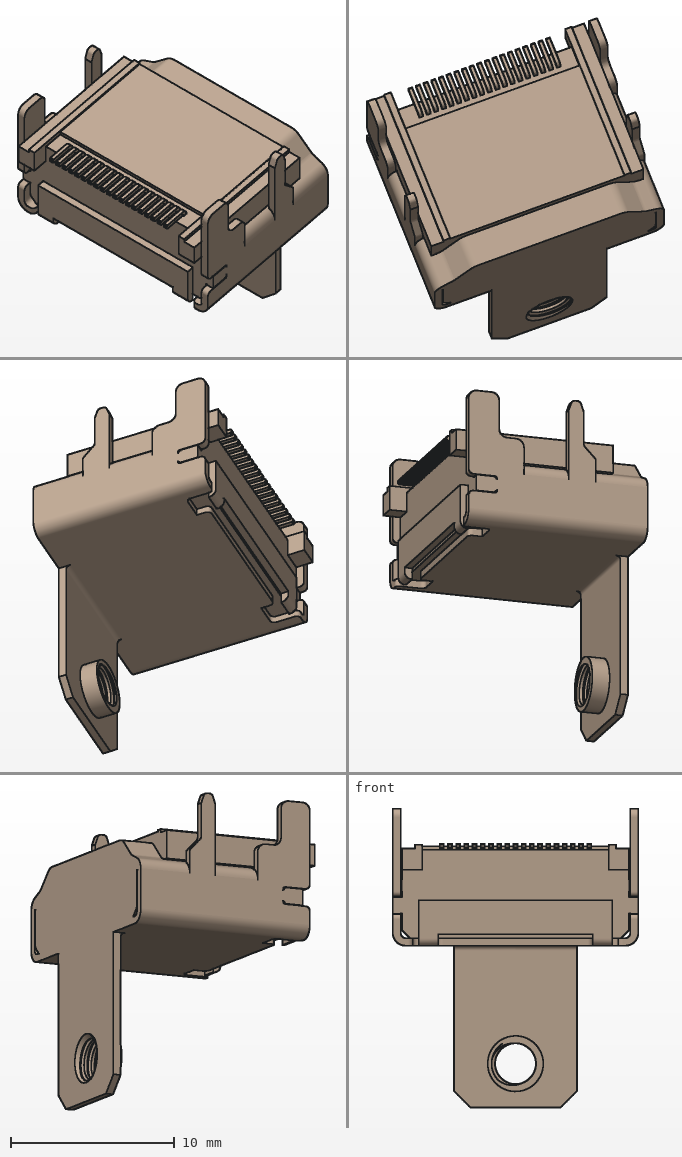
import cadquery as cq
import math


shell_half_width = 7.5
shell_length = 11.53
side_thickness = 0.51
floor_thickness = 0.47
bottom_radius = 0.8
shoulder_z = 3.3
hood_length = 7.98
hood_top_z = 5.55

edge_radius = 0.3
slot_bottom_z = 1.93
slot_top_z = 3.01
slot_front_y = -9.7
slot_corner_radius = 0.16
lug_clearance = 0.04
notch_half_width = 6.26
tab_half_width = 4.7
tab_end_y = -10.58

tail_top_z = 8.38

body_gap = 0.05
body_half_width = shell_half_width - side_thickness - body_gap
body_back_y = -11.05
body_chamfer = 0.47
body_front_y = -2.05
deck_half_width = 5.7
deck_end_y = -9.67
deck_z = 6.08
ledge_z = 5.85
rail_end_y = -12.15
rail_step_x = 6.13
rail_top_z = 6.17
rail_outer_z = 5.95
rail_bottom_z = 4.2
rail_tip_bottom_z = 4.64

plate_half_width = 5.91
plate_top_z = 2.77
plate_relief_z = 0.7
foot_radius = 0.44

contact_count = 19
contact_row_length = 9.0
contact_pitch = contact_row_length / (contact_count - 1)
contact_width = 0.25
contact_top_z = 6.25
contact_start_y = -10.1
contact_bend = 0.36
contact_thickness = 0.3
contact_end_y = -11.99
contact_tip_chamfer = 0.07

flange_half_width = 3.76
flange_thickness = 0.5
flange_bottom_z = -9.87
flange_chamfer = 1.02
flange_bend_radius = 0.27
boss_z = -7.19
boss_radius = 1.7
boss_end_y = -1.6
hole_radius = 1.25
thread_pitch = 0.5
thread_depth = 0.22
thread_root_flat = 0.07
thread_base = 0.44
thread_overlap = 0.18
thread_start = -100
countersink = 0.27


def block(x0, x1, y0, y1, z0, z1):
    """Axis-aligned box between two opposite corners."""
    return cq.Workplane("XY").box(x1 - x0, y1 - y0, z1 - z0, centered=False).translate((x0, y0, z0))


def both_sides(shape):
    """The shape together with its mirror image across the X = 0 plane."""
    return shape.union(shape.mirror("YZ"))


def make_trough():
    """Floor and side walls of the shell, bent from one sheet."""
    outer = block(-shell_half_width, shell_half_width, -shell_length, 0, 0, shoulder_z)
    outer = outer.edges("|Y and <Z").fillet(bottom_radius)
    inner_half_width = shell_half_width - side_thickness
    inner = block(-inner_half_width, inner_half_width, -shell_length, 0, floor_thickness, shoulder_z)
    inner = inner.edges("|Y and <Z").fillet(bottom_radius - side_thickness)
    return outer.cut(inner)


def make_hood():
    """Tapered upper part of the shell: rounded shoulders, sloped sides and a flat top."""
    shoulder_end = (6.94, 4.05)
    slope_foot_start = (6.42, 4.27)
    slope_foot_end = (6.19, 4.4)
    slope_top = (5.22, 5.3)
    flat_top_half_width = 4.67
    half = (
        cq.Workplane("XZ")
        .moveTo(0, shoulder_z)
        .lineTo(shell_half_width, shoulder_z)
        .threePointArc((7.34, 3.76), shoulder_end)
        .lineTo(*slope_foot_start)
        .threePointArc((6.3, 4.33), slope_foot_end)
        .lineTo(*slope_top)
        .threePointArc((4.96, 5.48), (flat_top_half_width, hood_top_z))
        .lineTo(0, hood_top_z)
        .close()
        .extrude(hood_length)
    )
    return both_sides(half)


def extrude_side_sheet(profile):
    """Turn a profile in the YZ plane into a piece of the +X side wall."""
    return profile.extrude(side_thickness).translate((shell_half_width - side_thickness, 0, 0))


def make_front_tail():
    """Narrow pointed solder tail with a sloped root."""
    root_front_y = -3.34
    front_y = -4.12
    back_y = -5.1
    taper_z = 7.72
    tip_arc_z = 8.2
    return extrude_side_sheet(
        cq.Workplane("YZ")
        .moveTo(root_front_y, shoulder_z)
        .lineTo(root_front_y, 4.64)
        .threePointArc((-3.35, 4.75), (-3.41, 4.82))
        .lineTo(-4.03, 5.45)
        .threePointArc((-4.1, 5.57), (front_y, 5.7))
        .lineTo(front_y, taper_z)
        .lineTo(-4.29, tip_arc_z)
        .threePointArc((-4.38, 8.32), (-4.53, tail_top_z))
        .lineTo(-4.69, tail_top_z)
        .threePointArc((-4.84, 8.32), (-4.93, tip_arc_z))
        .lineTo(back_y, taper_z)
        .lineTo(back_y, shoulder_z)
        .close()
    )


def make_rear_tail():
    """Wide solder tail standing on a stepped root at the rear end of the side wall."""
    step_z = 5.55
    step_y = -9.56
    bend_radius = 0.51
    tail = extrude_side_sheet(
        cq.Workplane("YZ")
        .moveTo(-hood_length, shoulder_z)
        .lineTo(-hood_length, step_z)
        .lineTo(step_y, step_z)
        .lineTo(step_y, tail_top_z)
        .lineTo(-shell_length, tail_top_z)
        .lineTo(-shell_length, shoulder_z)
        .close()
    )
    return tail.edges("|X").edges("not(<Z)").fillet(bend_radius)


def flared_opening(plane, half_width, depth, corner_radius):
    """Open-ended slot along the plane's Y axis, from its mouth at 0 to its depth.

    The inner corners are rounded and the mouth flares into the wall with edge_radius.
    """
    bend = corner_radius * (1 - math.sqrt(0.5))
    flare = edge_radius * (1 - math.sqrt(0.5))
    mouth = half_width + edge_radius
    return (
        plane.moveTo(-mouth, 0)
        .threePointArc((-half_width - flare, flare), (-half_width, edge_radius))
        .lineTo(-half_width, depth - corner_radius)
        .threePointArc((-half_width + bend, depth - bend), (-half_width + corner_radius, depth))
        .lineTo(half_width - corner_radius, depth)
        .threePointArc((half_width - bend, depth - bend), (half_width, depth - corner_radius))
        .lineTo(half_width, edge_radius)
        .threePointArc((half_width + flare, flare), (mouth, 0))
        .close()
    )


def make_side_slot():
    """Slot in the rear end of the +X side wall."""
    mid_z = (slot_bottom_z + slot_top_z) / 2
    plane = cq.Workplane(
        cq.Plane(
            origin=(shell_half_width - side_thickness, -shell_length, mid_z),
            xDir=(0, 0, -1),
            normal=(1, 0, 0),
        )
    )
    half_width = (slot_top_z - slot_bottom_z) / 2
    depth = shell_length + slot_front_y
    return flared_opening(plane, half_width, depth, slot_corner_radius).extrude(side_thickness)


def make_floor_opening():
    """Opening in the rear of the floor that leaves a short rounded tab in the middle."""
    plane = cq.Workplane("XY").center(0, -shell_length)
    depth = shell_length + slot_front_y
    opening = flared_opening(plane, notch_half_width, depth, edge_radius).extrude(floor_thickness)
    tab = block(-tab_half_width, tab_half_width, tab_end_y, slot_front_y, 0, floor_thickness)
    return opening.cut(tab.edges("|Z and <Y").fillet(edge_radius))


def make_body():
    """Plastic body: core with chamfered lower edges, raised deck, stepped rear ledge and side rails."""
    core = block(-body_half_width, body_half_width, body_back_y, 0, floor_thickness, shoulder_z)
    core = core.edges("|Y and <Z").chamfer(body_chamfer)
    rear = block(-body_half_width, body_half_width, body_back_y, -hood_length, shoulder_z, ledge_z)
    ledge = block(-deck_half_width, deck_half_width, body_back_y, body_front_y, shoulder_z, ledge_z)
    deck = block(-deck_half_width, deck_half_width, deck_end_y, body_front_y, shoulder_z, deck_z)
    return core.union(rear).union(ledge).union(deck).union(both_sides(make_rail().union(make_lug())))


def make_lug():
    """Lug on the +X side of the body that fills the side slot, with clearance above and below it."""
    lug = block(
        body_half_width, shell_half_width,
        body_back_y, slot_front_y,
        slot_bottom_z + lug_clearance, slot_top_z - lug_clearance,
    )
    return lug.edges("|X and >Y").chamfer(slot_corner_radius)


def make_rail():
    """Rail along the +X edge of the deck; its outer half is lower and its tip is shallower."""
    outer = block(deck_half_width, body_half_width, rail_end_y, body_front_y, rail_bottom_z, rail_outer_z)
    inner = block(deck_half_width, rail_step_x, rail_end_y, body_front_y, rail_bottom_z, rail_top_z)
    under_tip = block(
        deck_half_width, body_half_width,
        rail_end_y, body_back_y,
        rail_bottom_z, rail_tip_bottom_z,
    )
    return outer.union(inner).cut(under_tip)


def make_plate():
    """Plate on the back of the body with two rounded feet reaching into the floor opening."""
    plate = block(-plate_half_width, plate_half_width, -shell_length, body_back_y, 0, plate_top_z)
    plate = plate.edges("|X and <Y and <Z").fillet(foot_radius)
    relief = block(-tab_half_width, tab_half_width, -shell_length, body_back_y, 0, plate_relief_z)
    return plate.cut(relief)


def make_contacts():
    """Row of bent contact tails standing on the ledge and overhanging the back of the body."""
    contact = block(
        -contact_width / 2, contact_width / 2,
        contact_end_y, contact_start_y,
        ledge_z, contact_top_z,
    )
    clearance = block(
        -contact_width / 2, contact_width / 2,
        contact_end_y, contact_start_y - contact_thickness,
        ledge_z, contact_top_z - contact_thickness,
    )
    contact = contact.edges("|X and >Y and >Z").fillet(contact_bend)
    contact = contact.cut(clearance).faces("<Y").edges("|X").chamfer(contact_tip_chamfer)
    contacts = cq.Workplane("XY")
    for index in range(contact_count):
        x = index * contact_pitch - contact_row_length / 2
        contacts = contacts.add(contact.translate((x, 0, 0)))
    return contacts.combine()


def make_flange():
    """Mounting flange hanging from the mating edge, with a threaded boss on its rear face."""
    flange = block(-flange_half_width, flange_half_width, -flange_thickness, 0, flange_bottom_z, 0)
    flange = flange.edges("|Y and <Z").chamfer(flange_chamfer)
    bend = block(
        -flange_half_width, flange_half_width,
        -flange_thickness - flange_bend_radius, -flange_thickness,
        -flange_bend_radius, 0,
    )
    bend_space = (
        cq.Workplane("YZ")
        .center(-flange_thickness - flange_bend_radius, -flange_bend_radius)
        .circle(flange_bend_radius)
        .extrude(flange_half_width, both=True)
    )
    boss = cq.Workplane("XZ").center(0, boss_z).circle(boss_radius).extrude(-boss_end_y)
    hole = cq.Workplane("XZ").center(0, boss_z).circle(hole_radius).extrude(-boss_end_y)
    blank = flange.union(bend.cut(bend_space)).union(boss)
    return blank.cut(make_thread()).cut(hole).cut(make_countersink())


def make_countersink():
    """Conical lead-in of the hole at the mating face."""
    mouth_radius = hole_radius + countersink
    return (
        cq.Workplane("XY")
        .lineTo(mouth_radius, 0)
        .lineTo(0, -mouth_radius)
        .close()
        .revolve(360, (0, 0, 0), (0, 1, 0))
        .translate((0, 0, boss_z))
    )


def make_thread():
    """Helical V groove cut into the wall of the boss hole, running out past both ends."""
    length = -boss_end_y + 2 * thread_pitch
    start_radius = hole_radius - thread_overlap
    root_radius = hole_radius + thread_depth
    helix = cq.Wire.makeHelix(thread_pitch, length, start_radius)
    groove = (
        cq.Workplane("XZ")
        .moveTo(start_radius, -thread_base / 2)
        .lineTo(start_radius, thread_base / 2)
        .lineTo(root_radius, thread_root_flat / 2)
        .lineTo(root_radius, -thread_root_flat / 2)
        .close()
        .sweep(cq.Workplane(obj=helix), isFrenet=True)
    )
    groove = groove.rotate((0, 0, 0), (1, 0, 0), 90)
    groove = groove.rotate((0, 0, 0), (0, 1, 0), thread_start)
    return groove.translate((0, thread_pitch, boss_z))


shell = make_trough().union(make_hood())
shell = shell.union(both_sides(make_front_tail())).union(both_sides(make_rear_tail()))
shell = shell.cut(both_sides(make_side_slot())).cut(make_floor_opening())

result = shell.union(make_body()).union(make_plate()).union(make_contacts()).union(make_flange())